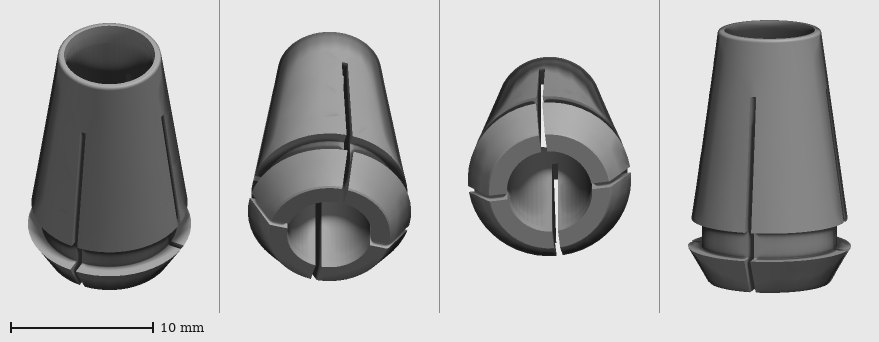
import cadquery as cq
import math

total_height = 18.0
flange_top = 2.52
cone_base = 4.5
slot_top = 14.0

flange_radius = 5.75
nose_radius = 4.35
nose_chamfer = 0.1
neck_radius = 4.75
groove_corner = 0.07
cone_base_radius = 5.49
cone_top_radius = 3.62
top_rounding = 0.23

bore_radius = 6.0 / 2
mouth_depth = 1.4
mouth_arc_radius = 5.0

slot_width = 0.43
slot_angles = (45, 135)


def make_body():
    """Revolve the collet profile: flange, neck groove and long taper."""
    body = (
        cq.Workplane("XZ")
        .moveTo(0, 0)
        .lineTo(nose_radius - nose_chamfer, 0)
        .lineTo(nose_radius, nose_chamfer)
        .lineTo(flange_radius, flange_top)
        .lineTo(neck_radius + groove_corner, flange_top)
        .radiusArc((neck_radius, flange_top + groove_corner), groove_corner)
        .lineTo(neck_radius, cone_base - groove_corner)
        .radiusArc((neck_radius + groove_corner, cone_base), groove_corner)
        .lineTo(cone_base_radius, cone_base)
        .lineTo(cone_top_radius, total_height)
        .lineTo(0, total_height)
        .close()
        .revolve(360, (0, 0, 0), (0, 1, 0))
    )
    return body.faces(">Z").edges().fillet(top_rounding)


def make_bore():
    """Straight through bore that runs tangentially into a rounded flare at the top."""
    mouth_base = total_height - mouth_depth
    flare = mouth_arc_radius - math.sqrt(mouth_arc_radius**2 - mouth_depth**2)
    mouth_radius = bore_radius + flare
    return (
        cq.Workplane("XZ")
        .moveTo(0, 0)
        .lineTo(bore_radius, 0)
        .lineTo(bore_radius, mouth_base)
        .tangentArcPoint((mouth_radius, total_height), relative=False)
        .lineTo(0, total_height)
        .close()
        .revolve(360, (0, 0, 0), (0, 1, 0))
    )


def make_slot(angle):
    """Slot through both walls, open at the nose face."""
    return (
        cq.Workplane("XY")
        .rect(2 * flange_radius + slot_width, slot_width)
        .extrude(slot_top)
        .rotate((0, 0, 0), (0, 0, 1), angle)
    )


result = make_body().cut(make_bore())
for slot_angle in slot_angles:
    result = result.cut(make_slot(slot_angle))